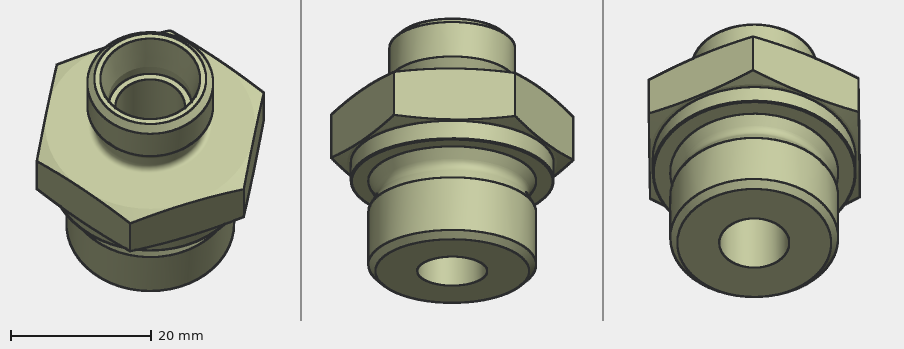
import cadquery as cq
import math

hex_flats = 30.0
hex_bottom = 17.0
hex_top = 25.0
hex_chamfer_angle = 15

collar_radius = 29.0 / 2
collar_bottom = 14.1
collar_edge = 0.15

stud_radius = 24.0 / 2
stud_chamfer = 1.0
stud_shoulder = 9.25
groove_arc_radius = 1.7

end_top = 36.0
end_radius = 18.0 / 2
end_chamfer = 1.0
end_shoulder = 29.6
neck_radius = 15.7 / 2
neck_root_fillet = 0.95
neck_arc_radius = 0.95

flank_angle = 30

through_radius = 10.0 / 2
socket_radius = 12.0 / 2
mouth_radius = 7.13
mouth_half_angle = 12
socket_depth = 7.0


def tan_deg(angle):
    return math.tan(math.radians(angle))


def sin_deg(angle):
    return math.sin(math.radians(angle))


def cos_deg(angle):
    return math.cos(math.radians(angle))


def make_hexagon():
    """Hexagonal prism whose corners are turned off conically at both ends."""
    corner_radius = hex_flats / 2 / cos_deg(30)
    height = hex_top - hex_bottom
    prism = (
        cq.Workplane("XY")
        .workplane(offset=hex_bottom)
        .polygon(6, 2 * corner_radius)
        .extrude(height)
        .rotate((0, 0, 0), (0, 0, 1), 30)
    )
    flat_radius = hex_flats / 2
    cutter_radius = 1.1 * corner_radius
    drop = (cutter_radius - flat_radius) * tan_deg(hex_chamfer_angle)
    turned_envelope = (
        cq.Workplane("XZ")
        .moveTo(0, hex_bottom)
        .lineTo(flat_radius, hex_bottom)
        .lineTo(cutter_radius, hex_bottom + drop)
        .lineTo(cutter_radius, hex_top - drop)
        .lineTo(flat_radius, hex_top)
        .lineTo(0, hex_top)
        .close()
        .revolve(360, (0, 0), (0, 1))
    )
    return prism.intersect(turned_envelope)


def make_lower_stud():
    """Stud, V-groove with rounded root, and collar, in one revolve."""
    groove_middle = (stud_shoulder + collar_bottom) / 2
    arc_half_height = groove_arc_radius * sin_deg(flank_angle)
    arc_depth = groove_arc_radius * (1 - cos_deg(flank_angle))
    flank_height = groove_middle - arc_half_height - stud_shoulder
    arc_end_radius = stud_radius - flank_height * tan_deg(flank_angle)
    return (
        cq.Workplane("XZ")
        .lineTo(stud_radius - stud_chamfer, 0)
        .lineTo(stud_radius, stud_chamfer)
        .lineTo(stud_radius, stud_shoulder)
        .lineTo(arc_end_radius, groove_middle - arc_half_height)
        .threePointArc(
            (arc_end_radius - arc_depth, groove_middle),
            (arc_end_radius, groove_middle + arc_half_height),
        )
        .lineTo(stud_radius, collar_bottom)
        .lineTo(collar_radius - collar_edge, collar_bottom)
        .lineTo(collar_radius, collar_bottom + collar_edge)
        .lineTo(collar_radius, hex_bottom)
        .lineTo(0, hex_bottom)
        .close()
        .revolve(360, (0, 0), (0, 1))
    )


def make_pipe_end():
    """Pipe end on a neck, with a fillet at the root and a rounded run-out below the shoulder."""
    arc_height = neck_arc_radius * sin_deg(flank_angle)
    arc_end_radius = neck_radius + neck_arc_radius * (1 - cos_deg(flank_angle))
    flank_height = (end_radius - arc_end_radius) / tan_deg(flank_angle)
    arc_top = end_shoulder - flank_height
    return (
        cq.Workplane("XZ")
        .moveTo(0, hex_top)
        .lineTo(neck_radius + neck_root_fillet, hex_top)
        .radiusArc((neck_radius, hex_top + neck_root_fillet), neck_root_fillet)
        .lineTo(neck_radius, arc_top - arc_height)
        .tangentArcPoint((arc_end_radius, arc_top), relative=False)
        .lineTo(end_radius, end_shoulder)
        .lineTo(end_radius, end_top - end_chamfer)
        .lineTo(end_radius - end_chamfer, end_top)
        .lineTo(0, end_top)
        .close()
        .revolve(360, (0, 0), (0, 1))
    )


def make_bore():
    """Through hole opening into a pipe socket and a conical mouth at the top."""
    mouth_depth = (mouth_radius - socket_radius) / tan_deg(mouth_half_angle)
    return (
        cq.Workplane("XZ")
        .lineTo(through_radius, 0)
        .lineTo(through_radius, end_top - socket_depth)
        .lineTo(socket_radius, end_top - socket_depth)
        .lineTo(socket_radius, end_top - mouth_depth)
        .lineTo(mouth_radius, end_top)
        .lineTo(0, end_top)
        .close()
        .revolve(360, (0, 0), (0, 1))
    )


body = make_hexagon().union(make_lower_stud()).union(make_pipe_end())
result = body.cut(make_bore())